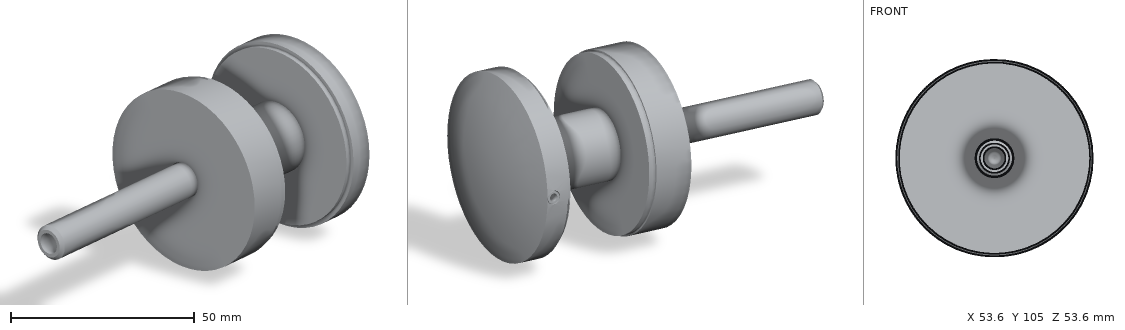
import cadquery as cq
import math


disc_radius = 26.0
disc_thickness = 11.0
shoulder_radius = 25.5
base_shoulder_thickness = 2.0
neck_diameter = 20.5
clamping_gap = 25.0

rod_diameter = 10.0
rod_length = 55.0
rod_chamfer = 1.0
rod_clearance = 0.2
rod_seat_depth = disc_thickness
bore_diameter = 6.0
bore_depth = 15.8
drill_point_angle = 118.0

cap_radius = 26.8
cap_shoulder_thickness = 1.5
rim_thickness = 6.5
dome_height = 4.0

screw_diameter = 3.6
screw_length = 5.2
screw_clearance = 0.2
screw_setback = 2.0
screw_recess = 0.1
screw_socket_diameter = 2.3
screw_socket_depth = 1.6

neck_start = disc_thickness + base_shoulder_thickness
cap_start = neck_start + clamping_gap
rim_start = cap_start + cap_shoulder_thickness
dome_start = rim_start + rim_thickness
rod_end = -rod_length


def cylinder(radius, start, length):
    """Cylinder on the Y axis, running toward +Y from start."""
    plane = cq.Plane(origin=(0, start, 0), xDir=(1, 0, 0), normal=(0, 1, 0))
    return cq.Workplane(plane).circle(radius).extrude(length)


def make_base():
    """Disc, shoulder and neck, with a blind socket for the rod."""
    disc = cylinder(disc_radius, 0, disc_thickness)
    shoulder = cylinder(shoulder_radius, disc_thickness, base_shoulder_thickness)
    neck = cylinder(neck_diameter / 2, neck_start, clamping_gap)
    rod_socket = cylinder(rod_diameter / 2 + rod_clearance, 0, rod_seat_depth)
    return disc.union(shoulder).union(neck).cut(rod_socket)


def make_rod():
    """Plain rod, chamfered and drilled at its free end."""
    rod = cylinder(rod_diameter / 2, rod_end, rod_length + rod_seat_depth)
    return rod.faces("<Y").chamfer(rod_chamfer).cut(make_rod_bore())


def make_rod_bore():
    """Blind bore with a conical drill point, opening at the rod end."""
    bore_radius = bore_diameter / 2
    bore_floor = rod_end + bore_depth
    point_length = bore_radius / math.tan(math.radians(drill_point_angle / 2))
    profile = (
        cq.Workplane("XY")
        .moveTo(0, rod_end)
        .lineTo(bore_radius, rod_end)
        .lineTo(bore_radius, bore_floor)
        .lineTo(0, bore_floor + point_length)
        .close()
    )
    return profile.revolve(360, (0, 0, 0), (0, 1, 0))


def make_cap():
    """Shouldered cylindrical rim closed by a shallow spherical dome."""
    dome_radius = (cap_radius**2 + dome_height**2) / (2 * dome_height)
    half_angle = math.asin(cap_radius / dome_radius) / 2
    dome_centre = dome_start + dome_height - dome_radius
    arc_middle = (dome_radius * math.sin(half_angle), dome_centre + dome_radius * math.cos(half_angle))
    profile = (
        cq.Workplane("XY")
        .moveTo(0, cap_start)
        .lineTo(shoulder_radius, cap_start)
        .lineTo(shoulder_radius, rim_start)
        .lineTo(cap_radius, rim_start)
        .lineTo(cap_radius, dome_start)
        .threePointArc(arc_middle, (0, dome_start + dome_height))
        .close()
    )
    cap = profile.revolve(360, (0, 0, 0), (0, 1, 0))
    screw_hole = rim_cylinder(screw_diameter / 2 + screw_clearance, 0, screw_recess + screw_length)
    return cap.cut(screw_hole)


def rim_cylinder(radius, depth, length):
    """Cylinder on the screw axis, running inward from a depth below the rim's -X side."""
    plane = cq.Plane(
        origin=(depth - cap_radius, dome_start - screw_setback, 0), xDir=(0, 1, 0), normal=(1, 0, 0)
    )
    return cq.Workplane(plane).circle(radius).extrude(length)


def make_screw():
    """Headless grub screw with a round socket in its outer end."""
    screw = rim_cylinder(screw_diameter / 2, screw_recess, screw_length)
    socket = rim_cylinder(screw_socket_diameter / 2, screw_recess, screw_socket_depth)
    return screw.cut(socket)


base = make_base()
rod = make_rod()
cap = make_cap()
screw = make_screw()

result = cq.Compound.makeCompound([base.val(), rod.val(), cap.val(), screw.val()])